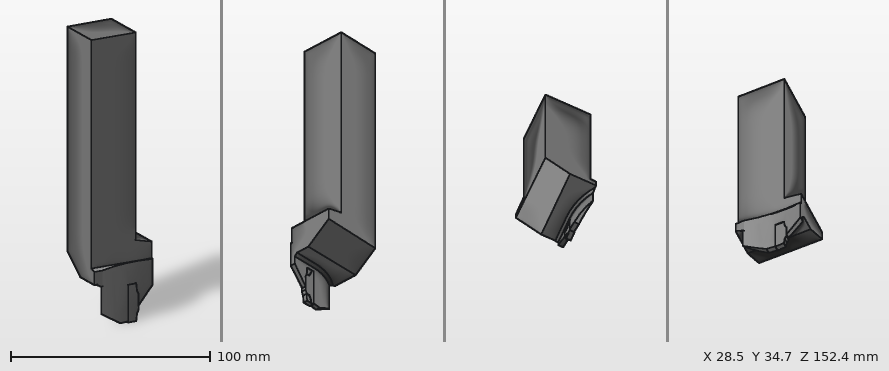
import cadquery as cq
import math

top_z = 152.4
shank_width = 25.0
shank_depth = 25.5

head_depth = 34.7
head_left_x = -0.5
head_right_x = 28.0
head_bottom_z = 23.8
bevel_top_z = 34.1
bevel_bottom_x = 13.5
shoulder_inner_z = 31.7
shoulder_outer_z = 30.8
ledge_inner_z = 42.7
ledge_outer_z = 40.4

flank_x = 25.3
flank_center_y = 25.9
flank_end_y = 4.5

blade_x = 22.9
blade_curve_y = 21.3
blade_front_y = 3.8
blade_back_z = 17.8
blade_front_z = 8.0
blade_bottom_z = 0.5
blade_bottom_front_y = 16.0
blade_bottom_back_y = 21.0
blade_nose_y = 26.5
blade_nose_z = 7.5
root_size = 1.5

insert_length = 20.0
insert_back_y = 20.7
insert_tip_y = 25.5
insert_shoulder_y = 25.9
insert_face_y = 26.8
insert_right_x = 25.6
tip_height = 4.0
face_start = 6.0
recess_depth = 0.23
recess_floor_y = 24.0
recess_end_y = 22.5
recess_end_z = 1.2


def arc_radius(rise, half_chord):
    """Radius of an arc that leaves its tangent by rise over half_chord."""
    return (rise**2 + half_chord**2) / (2 * rise)


flank_radius = arc_radius(head_right_x - flank_x, flank_center_y - flank_end_y)
blade_radius = arc_radius(head_right_x - blade_x, blade_curve_y - blade_front_y)
blade_center_x = blade_x + blade_radius


def arc_x(near_x, radius, center_y, y):
    """X at y on an arc whose vertex is at near_x and whose center is toward +X."""
    return near_x + radius - math.sqrt(radius**2 - (y - center_y) ** 2)


def flank_point(y):
    return (arc_x(flank_x, flank_radius, flank_center_y, y), y)


def blade_point(y):
    return (arc_x(blade_x, blade_radius, blade_curve_y, y), y)


def side_prism(points, x_start, x_end):
    """Extrude a (Y, Z) outline along X."""
    outline = cq.Workplane("YZ", origin=(x_start, 0, 0)).polyline(points).close()
    return outline.extrude(x_end - x_start)


def make_shank():
    shank = cq.Workplane().box(
        shank_width - head_left_x, shank_depth, top_z - bevel_top_z, centered=False
    )
    return shank.translate((head_left_x, 0, bevel_top_z))


def make_plan_limit():
    """Plan limits: slightly slanted -X face and concave +X flank."""
    return (
        cq.Workplane()
        .moveTo(0, 0)
        .lineTo(head_right_x, 0)
        .lineTo(head_right_x, flank_end_y)
        .threePointArc(flank_point((flank_end_y + head_depth) / 2), flank_point(head_depth))
        .lineTo(head_left_x, head_depth)
        .close()
        .extrude(top_z)
    )


def make_head():
    """Head with a bevel, a +X shoulder and a sloping ledge behind the shank."""
    front = [
        (head_left_x, ledge_inner_z),
        (head_left_x, bevel_top_z),
        (bevel_bottom_x, head_bottom_z),
        (head_right_x, head_bottom_z),
        (head_right_x, shoulder_outer_z),
        (shank_width, shoulder_inner_z),
        (shank_width, ledge_inner_z),
    ]
    ledge_side = [
        (0, 0),
        (head_depth, 0),
        (head_depth, ledge_outer_z),
        (shank_depth, ledge_inner_z),
        (0, ledge_inner_z),
    ]
    head = cq.Workplane("XZ").polyline(front).close().extrude(-head_depth)
    return head.intersect(side_prism(ledge_side, head_left_x, head_right_x))


def make_blade():
    plan = (
        cq.Workplane()
        .moveTo(blade_x, head_depth)
        .lineTo(blade_x, blade_curve_y)
        .threePointArc(
            blade_point((blade_curve_y + blade_front_y) / 2), blade_point(blade_front_y)
        )
        .lineTo(head_right_x, head_depth)
        .close()
        .extrude(head_bottom_z)
    )
    side = [
        (head_depth, head_bottom_z),
        (head_depth, blade_back_z),
        (blade_nose_y, blade_nose_z),
        (blade_bottom_back_y, blade_bottom_z),
        (blade_bottom_front_y, blade_bottom_z),
        (blade_front_y, blade_front_z),
        (blade_front_y, head_bottom_z),
    ]
    return plan.intersect(side_prism(side, blade_x, head_right_x))


def root_section(plane_y):
    """Sloped root section in the corner of blade face and head underside."""
    return (
        cq.Workplane("XZ", origin=(0, plane_y, 0))
        .moveTo(blade_x, head_bottom_z)
        .lineTo(blade_x - root_size, head_bottom_z)
        .lineTo(blade_x, head_bottom_z - root_size)
        .close()
    )


def make_blade_root():
    """Flare that follows the flat and curved stretches of the blade face."""
    straight = root_section(blade_curve_y).extrude(blade_curve_y - head_depth)
    curved = root_section(blade_curve_y).revolve(
        90, (blade_center_x, 0, 0), (blade_center_x, 1, 0)
    )
    return straight.union(curved)


def insert_outline():
    lower = [
        (insert_back_y, 0),
        (insert_tip_y, 0),
        (insert_shoulder_y, tip_height),
        (insert_face_y, face_start),
    ]
    upper = [(y, insert_length - z) for y, z in reversed(lower)]
    return lower + upper


def make_insert_blank():
    return side_prism(insert_outline(), blade_x, insert_right_x)


def make_insert():
    """Insert with a shallow side recess beside each cutting edge."""
    recess = [
        (recess_end_y, 0),
        (recess_end_y, recess_end_z),
        (recess_floor_y, tip_height),
        (insert_shoulder_y, tip_height),
        (insert_shoulder_y, 0),
    ]
    body = make_insert_blank()
    recess_x = blade_x + recess_depth
    lower = side_prism(recess, blade_x, recess_x)
    upper = side_prism([(y, insert_length - z) for y, z in recess], blade_x, recess_x)
    return body.cut(lower).cut(upper)


def make_holder():
    body = make_shank().union(make_head()).union(make_blade()).union(make_blade_root())
    return body.intersect(make_plan_limit()).cut(make_insert_blank())


holder = make_holder()
insert = make_insert()

result = cq.Compound.makeCompound([holder.val(), insert.val()])